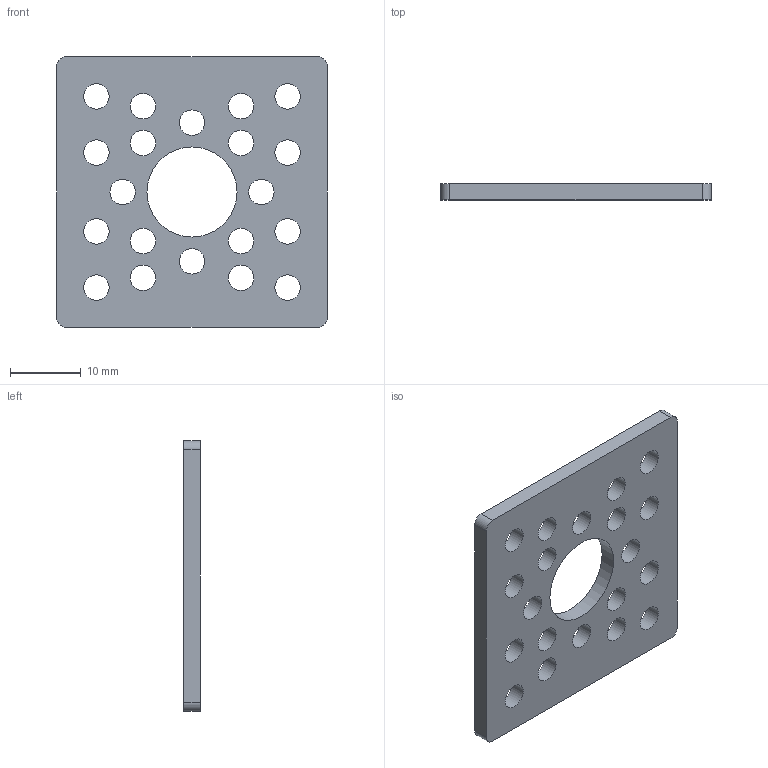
import cadquery as cq
import math

INCH = 25.4

side = 1.5 * INCH
thickness = 0.09 * INCH
corner_radius = 0.05 * INCH

bore_diameter = 0.5 * INCH
screw_hole_diameter = 0.141 * INCH

hub_circle_radius = 0.77 * INCH / 2
hub_hole_count = 8

corner_circle_radius = 0.75 * INCH
corner_offset = corner_circle_radius * math.cos(math.radians(45))

side_column_x = corner_offset
side_column_z = 5.56
inner_column_x = hub_circle_radius * math.cos(math.radians(45))
inner_column_z = 12.1


def mirrored(x, z):
    """Return the four points that mirror (x, z) about both centre lines."""
    return [(sx * x, sz * z) for sx in (-1, 1) for sz in (-1, 1)]


def circle_points(radius, count):
    """Return points evenly spaced on a circle, starting on the +X axis."""
    angles = [2 * math.pi * i / count for i in range(count)]
    return [(radius * math.cos(a), radius * math.sin(a)) for a in angles]


def make_plate():
    """Square plate with rounded corners, centred on the origin."""
    plate = cq.Workplane("XY").box(side, thickness, side)
    return plate.edges("|Y").fillet(corner_radius)


def drill(plate, points, diameter):
    """Cut through holes along Y at the given (x, z) points."""
    holes = plate.faces("<Y").workplane(origin=(0, 0, 0)).pushPoints(points)
    return holes.circle(diameter / 2).cutThruAll()


screw_points = (
    circle_points(hub_circle_radius, hub_hole_count)
    + mirrored(corner_offset, corner_offset)
    + mirrored(side_column_x, side_column_z)
    + mirrored(inner_column_x, inner_column_z)
)

result = make_plate()
result = drill(result, [(0, 0)], bore_diameter)
result = drill(result, screw_points, screw_hole_diameter)